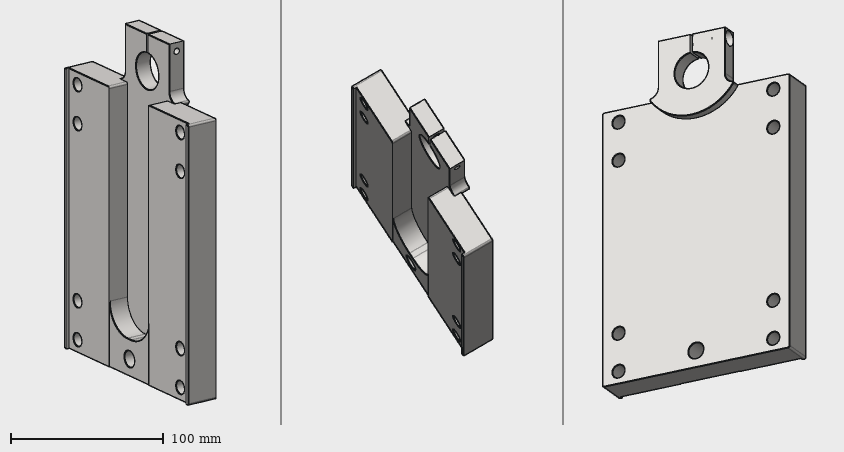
import cadquery as cq
import math

total_depth = 29.0
lip_height = 2.0
channel_step = 0.5
arm_thickness = 12.0
arm_overhang = 6.0
rail_front = lip_height
channel_front = rail_front + channel_step
arm_front = total_depth - arm_thickness
plate_back = total_depth - arm_overhang

plate_width = 140.0
plate_height = 195.0
half_plate = plate_width / 2
lip_width = 2.5
end_radius = 1.5
edge_chamfer = 0.5
chamfer_angle = 45

channel_width = 44.2
pocket_bottom = 25.8
pocket_corner_radius = 20.0

mount_spacing_x = 115.6
mount_end_distance = 9.0
mount_pitch = 27.0
mount_diameter = 9.0
pin_height = 12.0
pin_diameter = 11.0

total_height = 235.0
arm_width = 50.0
arm_foot_radius = 38.0
arm_foot_bottom = 177.5
arm_neck_height = 202.0
arm_neck_radius = 7.0
arm_tip_radius = 1.2
bore_height = 209.2
bore_diameter = 25.1
slit_width = 1.9
screw_height = 229.0
screw_clearance_diameter = 5.2
screw_thread_diameter = 4.2
screw_head_diameter = 10.3
screw_head_depth = 10.0


def prism(sketch, y_start, y_end):
    """Extrude a closed XZ outline between two Y levels."""
    return sketch.extrude(y_start - y_end).translate((0, y_start, 0))


def block(x_start, x_end, y_start, y_end, z_start, z_end):
    size = (x_end - x_start, y_end - y_start, z_end - z_start)
    return cq.Workplane("XY").box(*size, centered=False).translate((x_start, y_start, z_start))


def cylinder_along_y(x, z, diameter, y_start, y_end):
    return prism(cq.Workplane("XZ").center(x, z).circle(diameter / 2), y_start, y_end)


def rim_chamfer(x, z, diameter, y_face, direction):
    """Cone that breaks a hole rim; direction is the way into the material."""
    rim = cq.Solid.makeCone(
        diameter / 2 + edge_chamfer, diameter / 2, edge_chamfer,
        cq.Vector(x, y_face, z), cq.Vector(0, direction, 0),
    )
    return cq.Workplane(obj=rim)


def chamfered_hole(body, x, z, diameter, y_front, y_back):
    body = body.cut(cylinder_along_y(x, z, diameter, 0, total_depth))
    body = body.cut(rim_chamfer(x, z, diameter, y_front, 1))
    return body.cut(rim_chamfer(x, z, diameter, y_back, -1))


def front_relief(half_width, floor):
    """Full-height cut down to the floor that also breaks the floor's upper and lower edges."""
    profile = (
        cq.Workplane("YZ", origin=(-half_width, 0, 0))
        .moveTo(0, 0)
        .lineTo(floor + edge_chamfer, 0)
        .lineTo(floor, edge_chamfer)
        .lineTo(floor, plate_height - edge_chamfer)
        .lineTo(floor + edge_chamfer, plate_height)
        .lineTo(0, plate_height)
        .close()
    )
    return profile.extrude(2 * half_width)


def make_plate():
    body = block(-half_plate, half_plate, 0, plate_back, 0, plate_height)
    body = body.edges("|Y").fillet(end_radius)
    body = body.faces("<Y").chamfer(edge_chamfer)
    body = body.faces(">Y").edges("|Z").chamfer(edge_chamfer)
    body = body.cut(front_relief(half_plate - lip_width, rail_front))
    return body.cut(front_relief(channel_width / 2, channel_front))


def pocket_outline(growth):
    """U-shaped outline of the pocket, enlarged all round by growth."""
    half = channel_width / 2 + growth
    bottom = pocket_bottom - growth
    radius = pocket_corner_radius + growth
    return (
        cq.Workplane("XZ")
        .moveTo(half, plate_height)
        .lineTo(half, bottom + radius)
        .radiusArc((half - radius, bottom), radius)
        .lineTo(radius - half, bottom)
        .radiusArc((-half, bottom + radius), radius)
        .lineTo(-half, plate_height)
        .close()
    )


def make_pocket():
    """U-shaped opening in front of the arm, with a broken rim and flared upper corners."""
    pocket = prism(pocket_outline(0), 0, arm_front)
    rim = pocket_outline(edge_chamfer).extrude(-edge_chamfer, taper=chamfer_angle)
    rim = rim.translate((0, channel_front, 0))
    half = channel_width / 2
    within_channel = block(-half, half, 0, arm_front, 0, plate_height)
    pocket = pocket.union(rim.intersect(within_channel))
    flare = (
        cq.Workplane("XZ")
        .moveTo(-half - end_radius, plate_height)
        .lineTo(half + end_radius, plate_height)
        .radiusArc((half, plate_height - end_radius), -end_radius)
        .lineTo(-half, plate_height - end_radius)
        .radiusArc((-half - end_radius, plate_height), -end_radius)
        .close()
    )
    return pocket.union(prism(flare, 0, arm_front))


def make_arm():
    half_arm = arm_width / 2
    foot_centre = arm_foot_bottom + arm_foot_radius
    neck_x = half_arm + arm_neck_radius
    rise = arm_neck_height - foot_centre
    distance = math.hypot(neck_x, rise)
    along = (distance**2 + arm_foot_radius**2 - arm_neck_radius**2) / (2 * distance)
    across = math.sqrt(arm_foot_radius**2 - along**2)
    tip_x = (along * neck_x + across * rise) / distance
    tip_z = foot_centre + (along * rise - across * neck_x) / distance
    mid_angle = (math.pi + math.atan2(tip_z - arm_neck_height, tip_x - neck_x) % (2 * math.pi)) / 2
    mid_x = neck_x + arm_neck_radius * math.cos(mid_angle)
    mid_z = arm_neck_height + arm_neck_radius * math.sin(mid_angle)
    outline = (
        cq.Workplane("XZ")
        .moveTo(-half_arm, total_height)
        .lineTo(half_arm, total_height)
        .lineTo(half_arm, arm_neck_height)
        .threePointArc((mid_x, mid_z), (tip_x, tip_z))
        .threePointArc((0, arm_foot_bottom), (-tip_x, tip_z))
        .threePointArc((-mid_x, mid_z), (-half_arm, arm_neck_height))
        .close()
    )
    arm = prism(outline, arm_front, total_depth)
    arm = arm.faces("<Y").edges("|Z or >Z").chamfer(edge_chamfer)
    arm = arm.edges("|Y").edges("<X or >X").fillet(arm_tip_radius)
    return arm.faces(">Y").chamfer(edge_chamfer)


def cut_clamp(body):
    """Bore, clamping slit and the counterbored cross hole for the clamp screw."""
    half_slit = slit_width / 2
    half_arm = arm_width / 2
    body = body.cut(block(-half_slit, half_slit, arm_front, total_depth, bore_height, total_height))
    body = chamfered_hole(body, 0, bore_height, bore_diameter, arm_front, total_depth)
    screw_axis = cq.Workplane("YZ", origin=(-half_arm, total_depth - arm_thickness / 2, screw_height))
    body = body.cut(screw_axis.circle(screw_thread_diameter / 2).extrude(arm_width))
    body = body.cut(screw_axis.circle(screw_clearance_diameter / 2).extrude(half_arm))
    return body.cut(screw_axis.circle(screw_head_diameter / 2).extrude(screw_head_depth))


def cut_mounting_holes(body):
    lower = mount_end_distance
    upper = plate_height - mount_end_distance
    for x in (-mount_spacing_x / 2, mount_spacing_x / 2):
        for z in (lower, lower + mount_pitch, upper - mount_pitch, upper):
            body = chamfered_hole(body, x, z, mount_diameter, rail_front, plate_back)
    return chamfered_hole(body, 0, pin_height, pin_diameter, channel_front, plate_back)


body = make_plate().cut(make_pocket()).union(make_arm())
body = cut_clamp(body)
result = cut_mounting_holes(body)